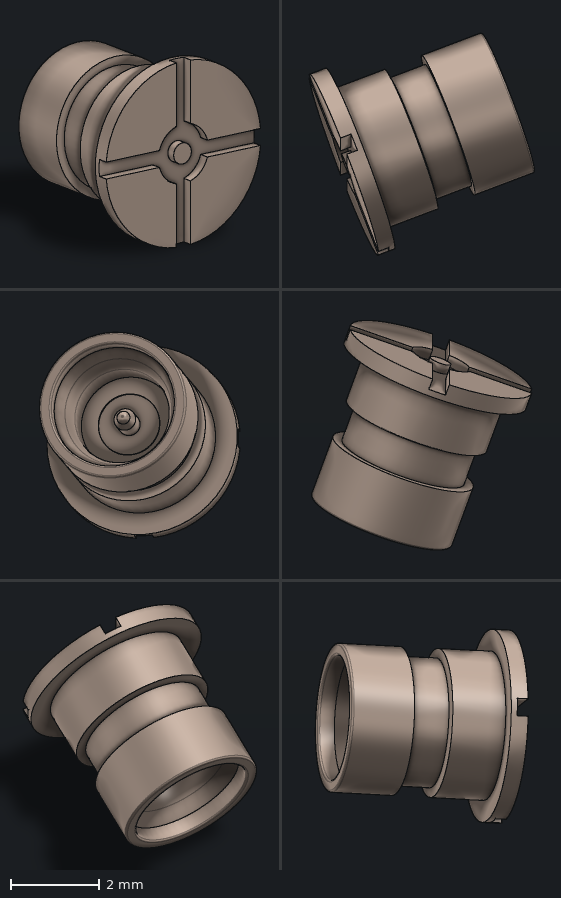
import cadquery as cq
import math


total_length = 4.0
flange_radius = 2.2
flange_thickness = 0.4
body_radius = 1.7
groove_radius = 1.48
groove_start = 1.46
groove_end = 2.325
shoulder_taper_length = 0.035
mouth_fillet = 0.045

entry_radius = 1.42
entry_depth = 0.385
throat_radius = 1.1
cone_angle = math.radians(30)
blend_radius = 1.0
bore_depth = 2.0

pin_radius = 0.25
pin_front = 1.2
pin_rear = 3.965
pin_shoulder_radius = 0.15
pin_cone_length = 0.175
pin_tip_radius = 0.02
pin_nose_length = pin_shoulder_radius - pin_tip_radius

insulator_radius = 0.71
insulator_setback = 0.045
slot_width = 0.4
slot_depth = 0.255

flange_start = total_length - flange_thickness
slot_floor = total_length - slot_depth


def revolve_about_x(profile):
    """Turn a closed (X, radius) profile into a solid around the X axis."""
    return profile.close().revolve(360, (0, 0, 0), (1, 0, 0))


def make_body():
    """Stepped shell with its flange, filleted mouth and coned bore."""
    lip_diagonal = mouth_fillet * (1 - math.sqrt(0.5))
    mouth_radius = entry_radius + mouth_fillet

    blend_start_radius = throat_radius + blend_radius * (1 - math.cos(cone_angle))
    cone_length = (entry_radius - blend_start_radius) / math.tan(cone_angle)
    blend_start = entry_depth + cone_length
    blend_end = blend_start + blend_radius * math.sin(cone_angle)
    half_angle = cone_angle / 2
    blend_middle = (
        blend_end - blend_radius * math.sin(half_angle),
        throat_radius + blend_radius * (1 - math.cos(half_angle)),
    )

    profile = (
        cq.Workplane("XY")
        .moveTo(bore_depth + insulator_setback, 0)
        .lineTo(bore_depth + insulator_setback, insulator_radius)
        .lineTo(bore_depth, insulator_radius)
        .lineTo(bore_depth, throat_radius)
        .lineTo(blend_end, throat_radius)
        .threePointArc(blend_middle, (blend_start, blend_start_radius))
        .lineTo(entry_depth, entry_radius)
        .lineTo(mouth_fillet, entry_radius)
        .threePointArc((lip_diagonal, entry_radius + lip_diagonal), (0, mouth_radius))
        .lineTo(0, body_radius - mouth_fillet)
        .threePointArc((lip_diagonal, body_radius - lip_diagonal), (mouth_fillet, body_radius))
        .lineTo(groove_start, body_radius)
        .lineTo(groove_start, groove_radius)
        .lineTo(groove_end, groove_radius)
        .lineTo(groove_end + shoulder_taper_length, body_radius)
        .lineTo(flange_start, body_radius)
        .lineTo(flange_start, flange_radius)
        .lineTo(total_length, flange_radius)
        .lineTo(total_length, 0)
    )
    return revolve_about_x(profile)


def make_rear_cut():
    """Crossed screwdriver slots plus the round recess behind the insulator."""
    cut = cq.Workplane("YZ", origin=(slot_floor, 0, 0)).circle(insulator_radius).extrude(slot_depth)
    slot_length = 2 * flange_radius + slot_width
    for size_y, size_z in ((slot_length, slot_width), (slot_width, slot_length)):
        slot = cq.Workplane("YZ", origin=(slot_floor, 0, 0)).rect(size_y, size_z).extrude(slot_depth)
        cut = cut.union(slot)
    return cut


def make_pin():
    """Straight pin with a coned and rounded front end and a small flat tip."""
    nose_end = pin_front + pin_nose_length
    nose_diagonal = pin_nose_length * (1 - math.sqrt(0.5))
    nose_middle = (pin_front + nose_diagonal, pin_shoulder_radius - nose_diagonal)
    profile = (
        cq.Workplane("XY")
        .moveTo(pin_front, 0)
        .lineTo(pin_front, pin_tip_radius)
        .threePointArc(nose_middle, (nose_end, pin_shoulder_radius))
        .lineTo(nose_end + pin_cone_length, pin_radius)
        .lineTo(pin_rear, pin_radius)
        .lineTo(pin_rear, 0)
    )
    return revolve_about_x(profile)


result = make_body().cut(make_rear_cut()).union(make_pin())